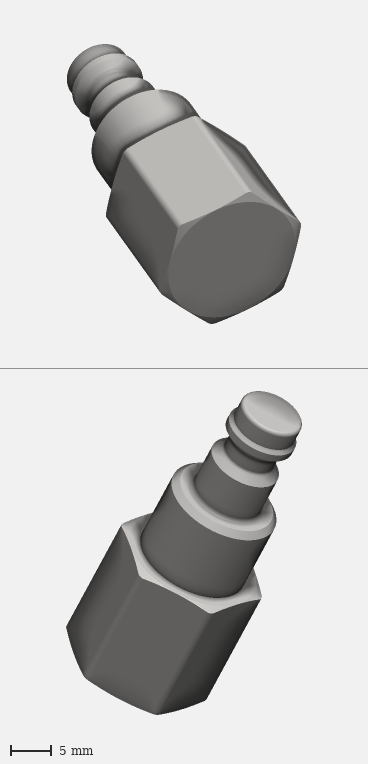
import cadquery as cq
import math

tip_end = 2.6
collar_start = 3.1
collar_end = 4.1
neck_end = 8.4
shoulder_x = 14.1
hex_start = 24.45
total_length = 42.0

tip_diameter = 8.1
plug_diameter = 9.0
groove_diameter = 6.65
body_diameter = 14.0

tip_round = 0.5
groove_round_front = 0.5
groove_round_back = 0.3
shoulder_fillet = 0.5
body_chamfer = 0.8

across_flats = 17.0
hex_rotation = 15.0
hex_corner_round = 1.0
hex_face_diameter = 16.9
hex_chamfer_angle = 17.0

tip_radius = tip_diameter / 2
plug_radius = plug_diameter / 2
groove_radius = groove_diameter / 2
body_radius = body_diameter / 2

groove_depth = plug_radius - groove_radius
groove_floor_start = collar_end + groove_depth
groove_floor_end = neck_end - groove_depth

def revolve_about_x(profile):
    """Turn a closed XY profile once around the X axis."""
    return profile.close().revolve(360, (0, 0, 0), (1, 0, 0))

def fillet_circle(solid, x, radius, fillet_radius):
    """Fillet the circular edge that is centred on the X axis at station x."""
    point_on_edge = (x, 0, radius)
    return solid.edges(cq.selectors.NearestToPointSelector(point_on_edge)).fillet(fillet_radius)

def turned_plug():
    """Tip, collar, locking groove, neck and body as one stepped solid of revolution."""
    profile = (
        cq.Workplane("XY")
        .moveTo(0, 0)
        .lineTo(0, tip_radius)
        .lineTo(tip_end, tip_radius)
        .lineTo(collar_start, plug_radius)
        .lineTo(collar_end, plug_radius)
        .lineTo(groove_floor_start, groove_radius)
        .lineTo(groove_floor_end, groove_radius)
        .lineTo(neck_end, plug_radius)
        .lineTo(shoulder_x, plug_radius)
        .lineTo(shoulder_x, body_radius - body_chamfer)
        .lineTo(shoulder_x + body_chamfer, body_radius)
        .lineTo(hex_start, body_radius)
        .lineTo(hex_start, 0)
    )
    plug = revolve_about_x(profile)
    plug = fillet_circle(plug, 0, tip_radius, tip_round)
    plug = fillet_circle(plug, groove_floor_start, groove_radius, groove_round_front)
    plug = fillet_circle(plug, groove_floor_end, groove_radius, groove_round_back)
    return fillet_circle(plug, shoulder_x, plug_radius, shoulder_fillet)

def hexagon():
    """Wrench hexagon with rounded corners and conical chamfers on both ends."""
    hex_length = total_length - hex_start
    corner_diameter = across_flats / math.cos(math.pi / 6)
    prism = (
        cq.Workplane("YZ", origin=(hex_start, 0, 0))
        .transformed(rotate=(0, 0, hex_rotation))
        .polygon(6, corner_diameter)
        .extrude(hex_length)
        .edges("|X")
        .fillet(hex_corner_round)
    )

    face_radius = hex_face_diameter / 2
    outer_radius = corner_diameter / 2
    chamfer_length = (outer_radius - face_radius) * math.tan(math.radians(hex_chamfer_angle))
    envelope = revolve_about_x(
        cq.Workplane("XY")
        .moveTo(hex_start, 0)
        .lineTo(hex_start, face_radius)
        .lineTo(hex_start + chamfer_length, outer_radius)
        .lineTo(total_length - chamfer_length, outer_radius)
        .lineTo(total_length, face_radius)
        .lineTo(total_length, 0)
    )
    return prism.intersect(envelope)


result = turned_plug().union(hexagon())